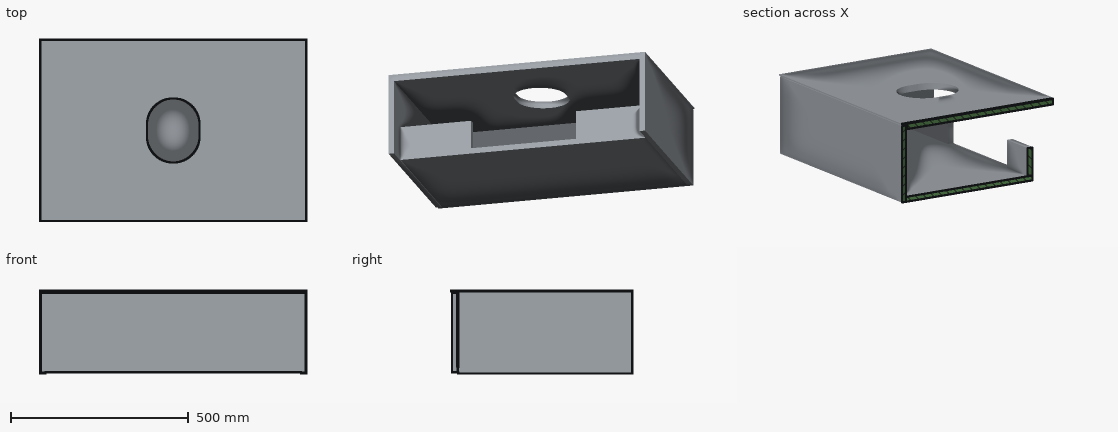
import cadquery as cq

width = 750.0
depth = 511.0
height = 234.0
board = 16.0

plate_thickness = 4.0
opening_width = 148.5
opening_length = 181.0

front_thickness = 16.0
front_setback = 2.0
front_rear_gap = 2.0
front_side_inset = 2.0
front_top_gap = 3.0
front_bottom_gap = 3.0

floor_bottom = 3.0
rail_height = 82.0
rail_thickness = 19.0
rail_gap = 306.0
rail_front_y = 167.0

y_front = -depth / 2
y_back = depth / 2
plate_bottom = height - plate_thickness
front_panel_y = y_front + front_setback
front_panel_back_y = front_panel_y + front_thickness
carcass_front_y = front_panel_back_y + front_rear_gap
inner_half_width = width / 2 - board
floor_top = floor_bottom + board
rail_back_y = rail_front_y + rail_thickness


def block(x_min, x_max, y_min, y_max, z_min, z_max):
    """Rectangular board between the given limits."""
    size = (x_max - x_min, y_max - y_min, z_max - z_min)
    return cq.Workplane("XY").box(*size, centered=False).translate((x_min, y_min, z_min))


def cut_opening(board_body):
    """Cut the oval opening, long axis along Y, through a horizontal board."""
    cutter = cq.Workplane("XY").slot2D(opening_length, opening_width, 90).extrude(height)
    cutter = cutter.translate((0, 0, height / 2))
    return board_body.cut(cutter)


def make_cover_plate():
    return cut_opening(block(-width / 2, width / 2, y_front, y_back, plate_bottom, height))


def make_top_board():
    """Board under the cover plate, between the sides."""
    return cut_opening(block(-inner_half_width, inner_half_width, carcass_front_y, y_back,
                             plate_bottom - board, plate_bottom))


def make_side(direction):
    """Side board; direction is -1 for the -X side and +1 for the +X side."""
    x_min, x_max = sorted((direction * inner_half_width, direction * width / 2))
    return block(x_min, x_max, carcass_front_y, y_back, 0, plate_bottom)


def make_front_panel():
    half_width = width / 2 - front_side_inset
    return block(-half_width, half_width, front_panel_y, front_panel_back_y,
                 front_bottom_gap, plate_bottom - front_top_gap)


def make_drawer_floor():
    """Floor from the front panel to the back of the rails, open behind them."""
    return block(-inner_half_width, inner_half_width, front_panel_back_y, rail_back_y,
                 floor_bottom, floor_top)


def make_back_rail(direction):
    """Rail from a side board to the gap in the middle."""
    x_min, x_max = sorted((direction * rail_gap / 2, direction * inner_half_width))
    return block(x_min, x_max, rail_front_y, rail_back_y, floor_top, floor_top + rail_height)


cover_plate = make_cover_plate()
top_board = make_top_board()
front_panel = make_front_panel()
drawer_floor = make_drawer_floor()
sides = [make_side(direction).val() for direction in (-1, 1)]
back_rails = [make_back_rail(direction).val() for direction in (-1, 1)]

result = cq.Compound.makeCompound([
    cover_plate.val(),
    top_board.val(),
    front_panel.val(),
    drawer_floor.val(),
    *sides,
    *back_rails,
])